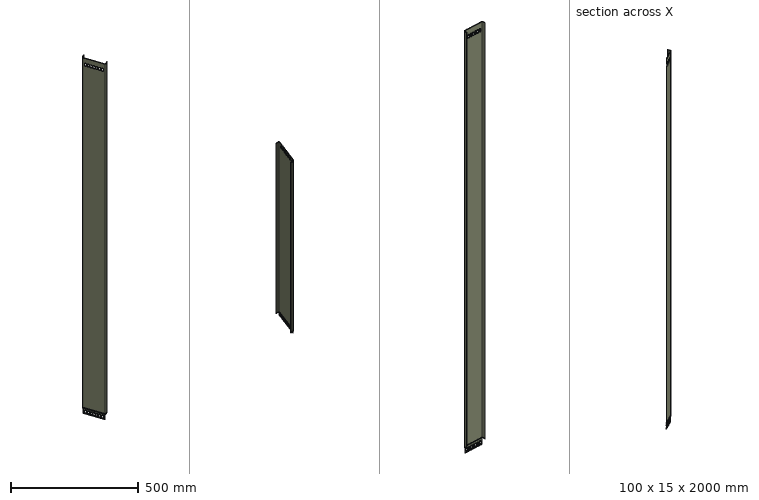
import cadquery as cq

length = 2000.0
width = 100.0
depth = 15.0

sheet = 1.0
outer_bend_radius = 5.0
inner_bend_radius = outer_bend_radius - sheet

tongue_length = 30.0
tongue_lap = 2.0
tongue_side_gap = outer_bend_radius

slot_width = 8.0
slot_height = 15.0
slot_pitch = 12.0
slot_count = 7
top_slot_inset = 35.0
bottom_slot_inset = 12.0

top = length / 2
bottom = -length / 2
front = -depth / 2
flange_bottom = bottom + tongue_length
flange_length = length - tongue_length


def block(x_size, y_size, z_size, z_start):
    """Box centred on X, starting at the web's front face and the given Z."""
    return (
        cq.Workplane("XY")
        .box(x_size, y_size, z_size, centered=(True, False, False))
        .translate((0, front, z_start))
    )


def channel():
    """Bent sheet channel with both side flanges pointing to +Y."""
    outer = block(width, depth, flange_length, flange_bottom)
    outer = outer.edges("|Z and <Y").fillet(outer_bend_radius)
    inner = block(width - 2 * sheet, depth, flange_length, flange_bottom)
    inner = inner.edges("|Z and <Y").fillet(inner_bend_radius)
    return outer.cut(inner.translate((0, sheet, 0)))


def tongue():
    """Flat plate set back by one sheet thickness and lapped onto the back of the web."""
    plate = block(width - 2 * tongue_side_gap, sheet, tongue_length + tongue_lap, bottom)
    return plate.translate((0, sheet, 0))


def slot_row(z):
    """Cutters for a row of evenly spaced upright slots through the web."""
    return (
        cq.Workplane("XZ", origin=(0, 0, z))
        .rarray(slot_pitch, 20, slot_count, 1)
        .slot2D(slot_height, slot_width, 90)
        .extrude(depth, both=True)
    )


result = channel().union(tongue())
for slot_z in (top - top_slot_inset, bottom + bottom_slot_inset):
    result = result.cut(slot_row(slot_z))